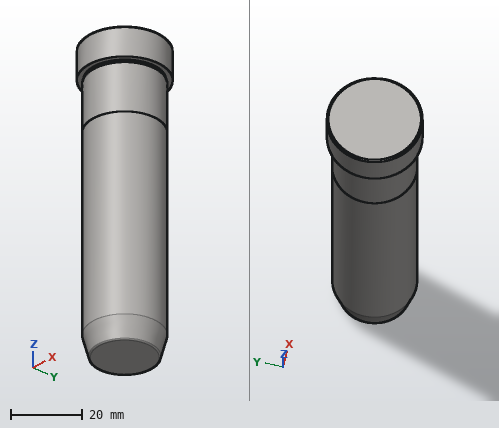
import cadquery as cq
import math

total_length = 100.0
shank_radius = 12.0

head_radius = 13.5
head_height = 10.0
head_chamfer = 0.5
mounting_length = 17.0
undercut_width = 1.0
undercut_depth = 0.3
undercut_slope_height = 0.5

taper_height = 7.2
taper_angle = 15.0
tip_fillet = 0.5

head_bottom = total_length - head_height
split_height = head_bottom - mounting_length
undercut_bottom = head_bottom - undercut_width
tip_radius = shank_radius - taper_height * math.tan(math.radians(taper_angle))
undercut_radius = shank_radius - undercut_depth


def make_headed_collar():
    """Upper body: chamfered head, undercut with a sloped lower side, and plain mounting length."""
    slope_top = undercut_bottom + undercut_slope_height
    profile = (
        cq.Workplane("XZ")
        .moveTo(0, split_height)
        .lineTo(shank_radius, split_height)
        .lineTo(shank_radius, undercut_bottom)
        .lineTo(undercut_radius, slope_top)
        .lineTo(undercut_radius, head_bottom)
        .lineTo(head_radius, head_bottom)
        .lineTo(head_radius, total_length)
        .lineTo(0, total_length)
        .close()
    )
    collar = profile.revolve(360, (0, 0, 0), (0, 1, 0))
    return collar.faces(">Z").edges().chamfer(head_chamfer)


def make_guide_shank():
    """Lower body: cylindrical guide length with a tapered tip and a rounded end edge."""
    profile = (
        cq.Workplane("XZ")
        .lineTo(tip_radius, 0)
        .lineTo(shank_radius, taper_height)
        .lineTo(shank_radius, split_height)
        .lineTo(0, split_height)
        .close()
    )
    shank = profile.revolve(360, (0, 0, 0), (0, 1, 0))
    return shank.faces("<Z").edges().fillet(tip_fillet)


headed_collar = make_headed_collar()
guide_shank = make_guide_shank()

result = cq.Compound.makeCompound([headed_collar.val(), guide_shank.val()])